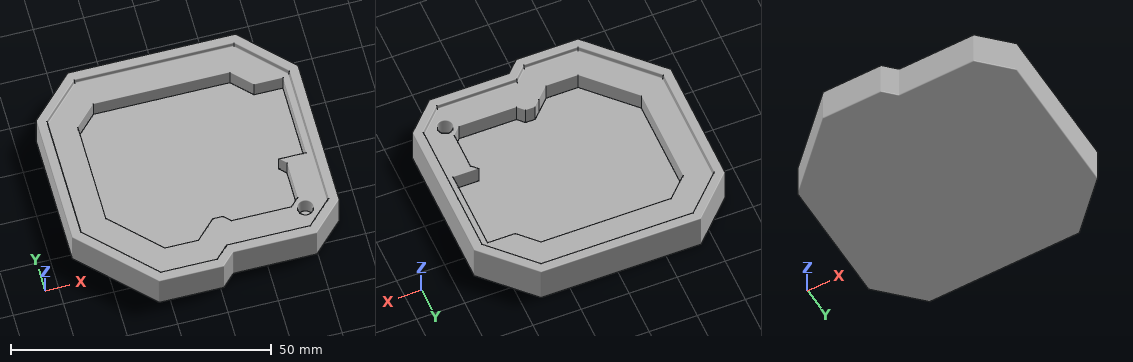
import cadquery as cq

LENGTH = 51.75
WIDTH = 49.15
HEIGHT = 8.3

CUT_BACK_LEFT = 8.6
CUT_BACK_RIGHT = 9.85
CUT_FRONT_RIGHT = 6.05
CUT_FRONT_LEFT = 13.65

STEP_START_X = 0.65
STEP_DEPTH = 2.55

EDGE_RADIUS = 0.2
POCKET_MOUTH_RADIUS = 0.1

RIM_WIDTH = 2.0
LEDGE_Z = 7.25
POCKET_INSET = 7.5
POCKET_FLOOR_Z = 3.35

BAY_LEFT_X = 15.5
BAY_RIGHT_X = 22.45
BAY_FRONT_Y = -3.7
BAY_BACK_Y = 13.3

CORNER_LEG = 1.3

BUMP_LEFT_X = 1.45
BUMP_RIGHT_X = 3.45
BUMP_TOP_Y = -13.2

HOLE_X = 19.25
HOLE_Y = -15.45
HOLE_RADIUS = 1.5

MOUTH_MARGIN = 0.05

RIGHT = LENGTH / 2
LEFT = -RIGHT
BACK = WIDTH / 2
FRONT = -BACK
STEP_Y = FRONT + STEP_DEPTH

OUTLINE = [
    (LEFT + CUT_BACK_LEFT, BACK),
    (RIGHT - CUT_BACK_RIGHT, BACK),
    (RIGHT, BACK - CUT_BACK_RIGHT),
    (RIGHT, STEP_Y + CUT_FRONT_RIGHT),
    (RIGHT - CUT_FRONT_RIGHT, STEP_Y),
    (STEP_START_X + STEP_DEPTH, STEP_Y),
    (STEP_START_X, FRONT),
    (LEFT + CUT_FRONT_LEFT, FRONT),
    (LEFT, FRONT + CUT_FRONT_LEFT),
    (LEFT, BACK - CUT_BACK_LEFT),
]


def prism(points, bottom_z, top_z):
    """Upright prism on a closed polygon."""
    base = cq.Workplane("XY").workplane(offset=bottom_z)
    return base.polyline(points).close().extrude(top_z - bottom_z)


def inset_prism(inset, bottom_z, top_z):
    """Upright prism on the outline moved inwards, keeping sharp corners."""
    base = cq.Workplane("XY").workplane(offset=bottom_z).polyline(OUTLINE).close()
    return base.offset2D(-inset, "intersection").extrude(top_z - bottom_z)


def rounded_block():
    """Outer block with every outer edge rounded."""
    return prism(OUTLINE, 0, HEIGHT).edges().fillet(EDGE_RADIUS)


def rim_recess():
    """Cutter for the recess, rounded where its wall meets the ledge."""
    return inset_prism(RIM_WIDTH, LEDGE_Z, HEIGHT).faces("<Z").edges().fillet(EDGE_RADIUS)


def pocket_prism(points):
    """Upright prism spanning the depth of the pocket."""
    return prism(points, POCKET_FLOOR_Z, LEDGE_Z)


def pocket():
    """Cutter for the pocket: inset outline plus bay, less the standing corner and bump."""
    bay = pocket_prism(
        [
            (BAY_LEFT_X, BAY_FRONT_Y),
            (BAY_RIGHT_X, BAY_FRONT_Y),
            (BAY_RIGHT_X, BAY_BACK_Y),
            (BAY_LEFT_X, BAY_BACK_Y),
        ]
    )
    right_wall_x = RIGHT - POCKET_INSET
    corner = pocket_prism(
        [
            (right_wall_x - CORNER_LEG, BAY_FRONT_Y),
            (right_wall_x, BAY_FRONT_Y - CORNER_LEG),
            (right_wall_x, BAY_FRONT_Y),
        ]
    )
    bump_foot_y = FRONT + POCKET_INSET
    bump_drop = BUMP_TOP_Y - bump_foot_y
    bump = pocket_prism(
        [
            (BUMP_LEFT_X, BUMP_TOP_Y),
            (BUMP_RIGHT_X, BUMP_TOP_Y),
            (BUMP_RIGHT_X + bump_drop, bump_foot_y),
            (BUMP_LEFT_X - bump_drop, bump_foot_y),
        ]
    )
    return inset_prism(POCKET_INSET, POCKET_FLOOR_Z, LEDGE_Z).union(bay).cut(corner).cut(bump)


def hole():
    """Cutter for the round hole, as deep as the pocket."""
    base = cq.Workplane("XY").workplane(offset=POCKET_FLOOR_Z)
    return base.center(HOLE_X, HOLE_Y).circle(HOLE_RADIUS).extrude(LEDGE_Z - POCKET_FLOOR_Z)


def round_mouth(body, center, half_x, half_y, z, radius):
    """Round the level edges at height z that lie inside a rectangle about a centre."""
    x, y = center
    reach_x = half_x + MOUTH_MARGIN
    reach_y = half_y + MOUTH_MARGIN
    box = cq.selectors.BoxSelector(
        (x - reach_x, y - reach_y, z - MOUTH_MARGIN),
        (x + reach_x, y + reach_y, z + MOUTH_MARGIN),
        boundingbox=True,
    )
    return body.edges(box).fillet(radius)


ORIGIN = (0, 0)

tray = rounded_block().cut(rim_recess())
tray = round_mouth(tray, ORIGIN, RIGHT - RIM_WIDTH, BACK - RIM_WIDTH, HEIGHT, EDGE_RADIUS)

tray = tray.cut(pocket())
tray = round_mouth(tray, ORIGIN, BAY_RIGHT_X, BACK - POCKET_INSET, LEDGE_Z, POCKET_MOUTH_RADIUS)

tray = tray.cut(hole())
result = round_mouth(tray, (HOLE_X, HOLE_Y), HOLE_RADIUS, HOLE_RADIUS, LEDGE_Z, EDGE_RADIUS)